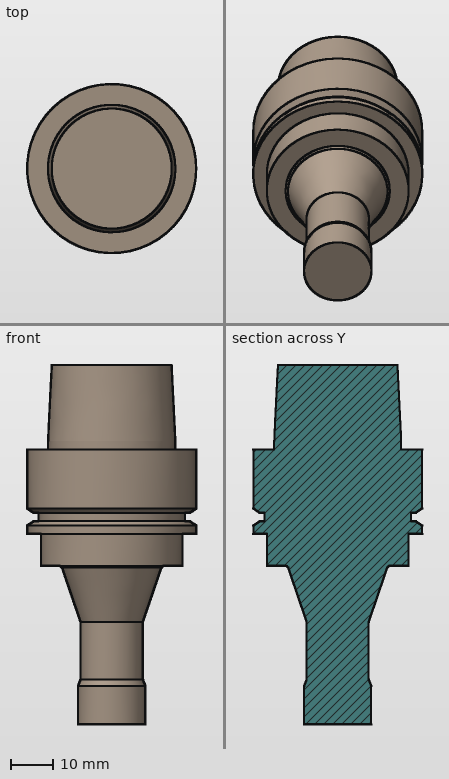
import cadquery as cq

TIP_DIA = 16.0
NECK_DIA = 14.8
CONE_TOP_DIA = 23.55
CONE_FLARE_DIA = 24.65
COLLAR_DIA = 33.6
GROOVE_DIA = 34.8
FLANGE_DIA = 40.0
SHANK_DIA = 30.2
SHANK_END_DIA = 28.4

TIP_TOP = 9.1
NECK_BOTTOM = 10.6
NECK_TOP = 24.2
CONE_TOP = 37.1
COLLAR_BOTTOM = 37.5
FLANGE_BOTTOM = 45.05
GROOVE_BOTTOM = 48.0
GROOVE_TOP = 50.0
FLANGE_TOP = 65.0
TAPER_BOTTOM = 67.0
TOTAL_HEIGHT = 85.0

LIP_CHAMFER_HEIGHT = 1.0
LIP_CHAMFER_DEPTH = 1.5
LIP_DIA = FLANGE_DIA - 2 * LIP_CHAMFER_DEPTH

PROFILE = [
    (TIP_DIA, 0),
    (TIP_DIA, TIP_TOP),
    (NECK_DIA, NECK_BOTTOM),
    (NECK_DIA, NECK_TOP),
    (CONE_TOP_DIA, CONE_TOP),
    (CONE_FLARE_DIA, COLLAR_BOTTOM),
    (COLLAR_DIA, COLLAR_BOTTOM),
    (COLLAR_DIA, FLANGE_BOTTOM),
    (FLANGE_DIA, FLANGE_BOTTOM),
    (FLANGE_DIA, GROOVE_BOTTOM - LIP_CHAMFER_HEIGHT),
    (LIP_DIA, GROOVE_BOTTOM),
    (GROOVE_DIA, GROOVE_BOTTOM),
    (GROOVE_DIA, GROOVE_TOP),
    (LIP_DIA, GROOVE_TOP),
    (FLANGE_DIA, GROOVE_TOP + LIP_CHAMFER_HEIGHT),
    (FLANGE_DIA, FLANGE_TOP),
    (SHANK_DIA, FLANGE_TOP),
    (SHANK_DIA, TAPER_BOTTOM),
    (SHANK_END_DIA, TOTAL_HEIGHT),
]


def turned_body(profile):
    """Revolve a (diameter, height) profile about the Z axis."""
    bottom = profile[0][1]
    top = profile[-1][1]
    outline = [(0, bottom)]
    outline += [(diameter / 2, height) for diameter, height in profile]
    outline.append((0, top))
    return cq.Workplane("XZ").polyline(outline).close().revolve(360, (0, 0), (0, 1))


result = turned_body(PROFILE).translate((0, 0, -TOTAL_HEIGHT / 2))